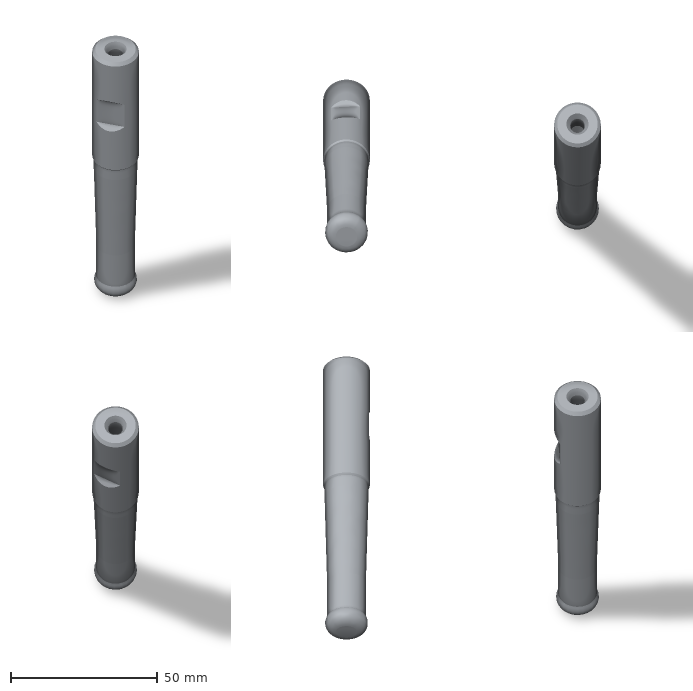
import cadquery as cq
import math

TOTAL_LENGTH = 108.0
TAPER_BOTTOM = 20.0
TAPER_TOP = 55.0
SHANK_BOTTOM = 59.9

SHANK_DIAMETER = 16.0
COLLAR_DIAMETER = 15.0
NECK_DIAMETER = 13.3
HEAD_DIAMETER = 14.7

SHANK_TOP_CHAMFER = 1.1
STEP_CONE_HEIGHT = 0.6

HEAD_ROUND_RADIUS = 3.7

HOLE_DIAMETER = 5.0
COUNTERSINK_DIAMETER = 7.6
COUNTERSINK_ANGLE = 60
HOLE_DEPTH = 10.8
DRILL_POINT_ANGLE = 118

FLAT_CENTRE_HEIGHT = 84.0
FLAT_LENGTH = 10.0
FLAT_DEPTH = 1.7
FLAT_END_ANGLE = 45
FLAT_DIRECTION = -45
CUT_MARGIN = 1.1

shank_radius = SHANK_DIAMETER / 2
collar_radius = COLLAR_DIAMETER / 2
neck_radius = NECK_DIAMETER / 2
head_radius = HEAD_DIAMETER / 2

rim_centre_radius = head_radius - HEAD_ROUND_RADIUS
rim_reach_to_neck = neck_radius - rim_centre_radius
head_height = HEAD_ROUND_RADIUS + math.sqrt(HEAD_ROUND_RADIUS**2 - rim_reach_to_neck**2)


def revolve_about_z(profile):
    """Revolve a closed (radius, height) profile drawn on the XZ plane."""
    return profile.close().revolve(360, (0, 0, 0), (0, 1, 0))


def make_centre_hole():
    hole_radius = HOLE_DIAMETER / 2
    mouth_radius = COUNTERSINK_DIAMETER / 2
    countersink_depth = (mouth_radius - hole_radius) / math.tan(math.radians(COUNTERSINK_ANGLE / 2))
    point_height = hole_radius / math.tan(math.radians(DRILL_POINT_ANGLE / 2))
    hole_bottom = TOTAL_LENGTH - HOLE_DEPTH
    profile = (
        cq.Workplane("XZ")
        .moveTo(0, TOTAL_LENGTH)
        .lineTo(mouth_radius, TOTAL_LENGTH)
        .lineTo(hole_radius, TOTAL_LENGTH - countersink_depth)
        .lineTo(hole_radius, hole_bottom)
        .lineTo(0, hole_bottom - point_height)
    )
    return revolve_about_z(profile)


def make_flat_cutter():
    depth = FLAT_DEPTH + CUT_MARGIN
    half_inner = FLAT_LENGTH / 2
    half_outer = half_inner + depth * math.tan(math.radians(FLAT_END_ANGLE))
    inner = shank_radius - FLAT_DEPTH
    outer = shank_radius + CUT_MARGIN
    return (
        cq.Workplane("XZ")
        .moveTo(inner, FLAT_CENTRE_HEIGHT - half_inner)
        .lineTo(outer, FLAT_CENTRE_HEIGHT - half_outer)
        .lineTo(outer, FLAT_CENTRE_HEIGHT + half_outer)
        .lineTo(inner, FLAT_CENTRE_HEIGHT + half_inner)
        .close()
        .extrude(shank_radius, both=True)
        .rotate((0, 0, 0), (0, 0, 1), FLAT_DIRECTION)
    )


def make_holder():
    """Shank, collar, tapered part and neck in one turned body."""
    profile = (
        cq.Workplane("XZ")
        .moveTo(0, head_height)
        .lineTo(neck_radius, head_height)
        .lineTo(neck_radius, TAPER_BOTTOM)
        .lineTo(collar_radius, TAPER_TOP)
        .lineTo(collar_radius, SHANK_BOTTOM - STEP_CONE_HEIGHT)
        .lineTo(shank_radius, SHANK_BOTTOM)
        .lineTo(shank_radius, TOTAL_LENGTH - SHANK_TOP_CHAMFER)
        .lineTo(shank_radius - SHANK_TOP_CHAMFER, TOTAL_LENGTH)
        .lineTo(0, TOTAL_LENGTH)
    )
    return revolve_about_z(profile).cut(make_centre_hole()).cut(make_flat_cutter())


def make_head():
    """Head with a round rim, flat below and ending at the neck above."""
    profile = (
        cq.Workplane("XZ")
        .moveTo(0, 0)
        .lineTo(rim_centre_radius, 0)
        .threePointArc((head_radius, HEAD_ROUND_RADIUS), (neck_radius, head_height))
        .lineTo(0, head_height)
    )
    return revolve_about_z(profile)


holder = make_holder()
head = make_head()
result = cq.Compound.makeCompound([holder.val(), head.val()])